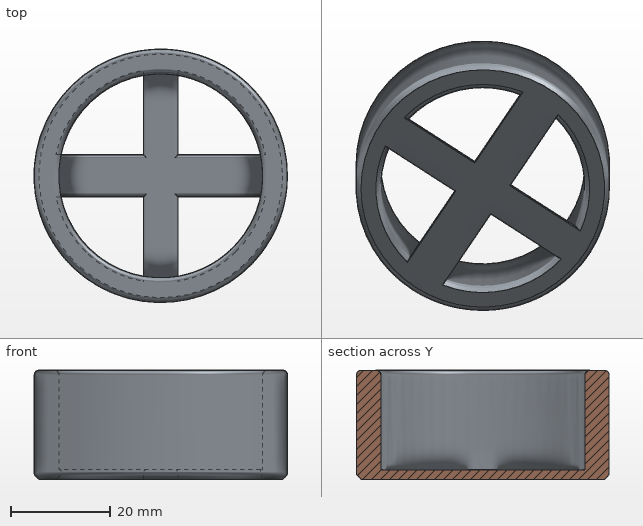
import cadquery as cq

OUTER_DIAMETER = 51.0
INNER_DIAMETER = 41.0
RING_HEIGHT = 22.0
RIM_FILLET = 1.0
BASE_CHAMFER = 1.0
BASE_BLEND = 1.0

X_BAR_WIDTH = 8.5
Y_BAR_WIDTH = 7.0
CROSS_HEIGHT = 2.0
CROSS_FILLET = 0.7

OUTER_RADIUS = OUTER_DIAMETER / 2
INNER_RADIUS = INNER_DIAMETER / 2
BAR_LENGTH = OUTER_RADIUS + INNER_RADIUS
SELECTION_MARGIN = 0.1


def make_ring():
    """Ring with rounded top edges and bevelled bottom edges blended into the walls."""
    ring = (
        cq.Workplane("XY")
        .circle(OUTER_RADIUS)
        .circle(INNER_RADIUS)
        .extrude(RING_HEIGHT)
    )
    ring = ring.faces(">Z").edges().fillet(RIM_FILLET)
    ring = ring.faces("<Z").edges().chamfer(BASE_CHAMFER)

    wall_edges = cq.selectors.BoxSelector(
        (-OUTER_DIAMETER, -OUTER_DIAMETER, BASE_CHAMFER - SELECTION_MARGIN),
        (OUTER_DIAMETER, OUTER_DIAMETER, BASE_CHAMFER + SELECTION_MARGIN),
    )
    return ring.edges("%CIRCLE").edges(wall_edges).fillet(BASE_BLEND)


def make_bar(x_size, y_size):
    """Plain bar centred on the ring axis, standing on the base plane."""
    return cq.Workplane("XY").box(x_size, y_size, CROSS_HEIGHT, centered=(True, True, False))


def make_cross():
    """Two crossing bars with rounded upper edges."""
    cross = make_bar(BAR_LENGTH, X_BAR_WIDTH).union(make_bar(Y_BAR_WIDTH, BAR_LENGTH))
    return cross.faces(">Z").edges().fillet(CROSS_FILLET)


result = make_ring().union(make_cross())